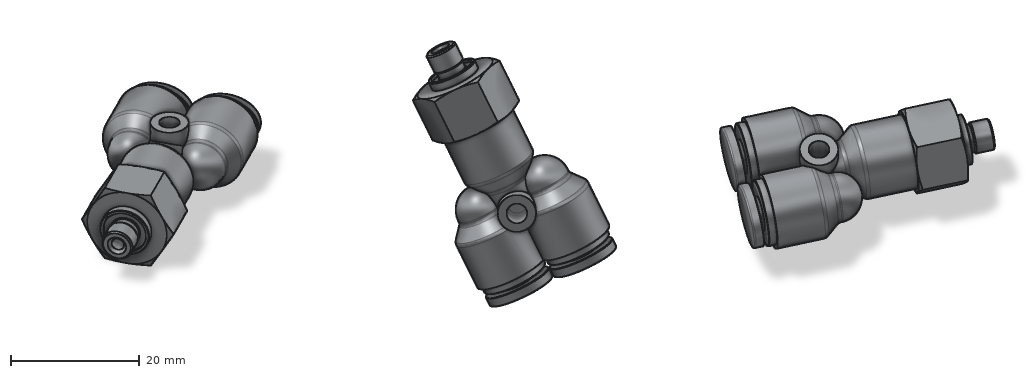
import cadquery as cq
import math


body_diameter = 11.9
throat_diameter = 8.0
branch_pitch = 11.03
branch_offsets = [-branch_pitch / 2, branch_pitch / 2]
edge_break = 0.1

thread_diameter = 5.0
neck_diameter = 4.5
neck_base_chamfer = 0.15
thread_chamfer = (thread_diameter - neck_diameter) / 2
thread_length = 3.25
bore_diameter = 2.0
bore_mouth_diameter = 3.05
seat_diameter = 8.0
seat_y = 4.0
seat_recess_diameter = 7.0
seat_recess_depth = 0.5
hex_start_y = 5.37
hex_length = 8.0
hex_across_flats = 13.0
hex_chamfer_height = 0.4

housing_start_y = hex_start_y + hex_length
stem_shoulder_y = 21.4
branch_shoulder_y = 29.4
branch_end_y = 37.35
shoulder_length = 2.45
shoulder_blend_radius = 1.0
dome_center_y = 26.35
boss_y = 27.8
boss_diameter = 6.0
boss_hole_diameter = 3.2

collar_diameter = 10.6
collar_length = 1.27
button_neck_diameter = 5.5
button_width = 10.9
button_height = 8.6
button_thickness = 1.6
button_rim_radius = 0.25
overall_length = 41.0

body_radius = body_diameter / 2
throat_radius = throat_diameter / 2
collar_end_y = branch_end_y + collar_length
button_start_y = overall_length - button_thickness


def disc(diameter, start_y, end_y, x=0.0):
    """Cylinder along Y between two Y positions."""
    return cq.Workplane(cq.Solid.makeCylinder(
        diameter / 2, end_y - start_y, cq.Vector(x, start_y, 0), cq.Vector(0, 1, 0)))


def revolve_about_y(profile):
    """Full turn about the Y axis of a closed profile drawn in the XY plane."""
    return profile.close().revolve(360, (0, 0, 0), (0, 1, 0))


def blend_shoulder(solid, shoulder_y, throat_y):
    """Round both circular edges of a conical shoulder."""
    for edge_y in (shoulder_y, throat_y):
        edge_box = cq.selectors.BoxSelector(
            (-body_diameter, edge_y - edge_break, -body_diameter),
            (body_diameter, edge_y + edge_break, body_diameter))
        solid = solid.edges(edge_box).fillet(shoulder_blend_radius)
    return solid


def make_stem():
    """Round stem that narrows to the throat and ends below the boss."""
    throat_y = stem_shoulder_y + shoulder_length
    profile = (
        cq.Workplane("XY")
        .moveTo(0, housing_start_y)
        .lineTo(body_radius, housing_start_y)
        .lineTo(body_radius, stem_shoulder_y)
        .lineTo(throat_radius, throat_y)
        .lineTo(throat_radius, boss_y)
        .lineTo(0, boss_y)
    )
    return blend_shoulder(revolve_about_y(profile), stem_shoulder_y, throat_y)


def make_branch(x):
    """Round branch that narrows to the throat and ends in a hemispherical dome."""
    throat_y = branch_shoulder_y - shoulder_length
    profile = (
        cq.Workplane("XY")
        .moveTo(0, branch_end_y)
        .lineTo(body_radius, branch_end_y)
        .lineTo(body_radius, branch_shoulder_y)
        .lineTo(throat_radius, throat_y)
        .lineTo(throat_radius, dome_center_y)
        .lineTo(0, dome_center_y)
    )
    barrel = blend_shoulder(revolve_about_y(profile), branch_shoulder_y, throat_y)
    dome_diagonal = throat_radius * math.sqrt(0.5)
    dome_profile = (
        cq.Workplane("XY")
        .moveTo(0, dome_center_y)
        .lineTo(throat_radius, dome_center_y)
        .threePointArc((dome_diagonal, dome_center_y - dome_diagonal), (0, dome_center_y - throat_radius))
    )
    return barrel.union(revolve_about_y(dome_profile)).translate((x, 0, 0))


def make_housing():
    """Y-shaped housing with a vertical mounting boss where the branches meet."""
    housing = make_stem()
    for x in branch_offsets:
        housing = housing.union(make_branch(x))
    boss_plane = cq.Workplane("XY", origin=(0, boss_y, 0))
    boss = boss_plane.circle(boss_diameter / 2).extrude(body_radius, both=True)
    boss_hole = boss_plane.circle(boss_hole_diameter / 2).extrude(body_radius, both=True)
    return housing.union(boss).cut(boss_hole)


def make_hex():
    """Hexagon with flats facing up and down and conically chamfered corners."""
    across_corners = hex_across_flats / math.cos(math.pi / 6)
    flat_radius = hex_across_flats / 2
    corner_radius = across_corners / 2
    prism = (
        cq.Workplane("XZ", origin=(0, hex_start_y, 0))
        .polygon(6, across_corners)
        .extrude(-hex_length)
    )
    envelope_profile = (
        cq.Workplane("XY")
        .moveTo(0, hex_start_y)
        .lineTo(flat_radius, hex_start_y)
        .lineTo(corner_radius, hex_start_y + hex_chamfer_height)
        .lineTo(corner_radius, housing_start_y - hex_chamfer_height)
        .lineTo(flat_radius, housing_start_y)
        .lineTo(0, housing_start_y)
    )
    return prism.intersect(revolve_about_y(envelope_profile))


def make_spigot():
    """Sealing seat, relieved neck and thread in front of the hexagon."""
    seat = disc(seat_diameter, seat_y, hex_start_y).faces("<Y").edges().chamfer(edge_break)
    recess_floor_y = seat_y + seat_recess_depth
    seat = seat.cut(disc(seat_recess_diameter, seat_y, recess_floor_y))
    thread_radius = thread_diameter / 2
    neck_radius = neck_diameter / 2
    thread_profile = (
        cq.Workplane("XY")
        .lineTo(neck_radius, 0)
        .lineTo(thread_radius, thread_chamfer)
        .lineTo(thread_radius, thread_length - thread_chamfer)
        .lineTo(neck_radius, thread_length)
        .lineTo(neck_radius, recess_floor_y - neck_base_chamfer)
        .lineTo(neck_radius + neck_base_chamfer, recess_floor_y)
        .lineTo(neck_radius + neck_base_chamfer, hex_start_y)
        .lineTo(0, hex_start_y)
    )
    return seat.union(revolve_about_y(thread_profile))


def make_stud():
    """Hexagonal stud with a countersunk bore through its whole length."""
    bore_radius = bore_diameter / 2
    mouth_radius = bore_mouth_diameter / 2
    bore_profile = (
        cq.Workplane("XY")
        .lineTo(mouth_radius, 0)
        .lineTo(bore_radius, mouth_radius - bore_radius)
        .lineTo(bore_radius, housing_start_y)
        .lineTo(0, housing_start_y)
    )
    return make_hex().union(make_spigot()).cut(revolve_about_y(bore_profile))


def make_collar(x):
    """Collar on the open end of a branch."""
    return disc(collar_diameter, branch_end_y, collar_end_y, x).faces(">Y").edges().chamfer(edge_break)


def make_button(x):
    """Oval release button on a round neck."""
    plate = (
        cq.Workplane("XZ", origin=(x, button_start_y, 0))
        .ellipse(button_width / 2, button_height / 2)
        .extrude(-button_thickness)
        .faces(">Y").edges().fillet(button_rim_radius)
        .faces("<Y").edges().chamfer(edge_break)
    )
    return plate.union(disc(button_neck_diameter, collar_end_y, button_start_y, x))


housing = make_housing()
stud = make_stud()
collars = [make_collar(x) for x in branch_offsets]
buttons = [make_button(x) for x in branch_offsets]

result = cq.Compound.makeCompound([
    *housing.solids().vals(),
    *stud.solids().vals(),
    *[collar.solids().val() for collar in collars],
    *[button.solids().val() for button in buttons],
])